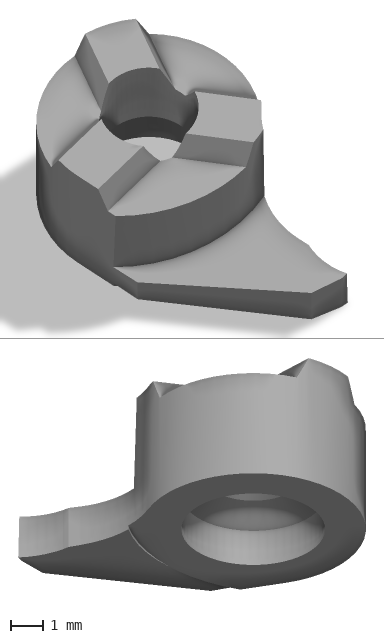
import cadquery as cq
import math

hub_radius = 3.5
hub_height = 4.38
bore_radius = 1.55

relief_radius = 2.23
relief_half_angle = 45
bore_end_z = 1.91

tooth_count = 3
tooth_height = 0.8
tooth_top_half_width = 0.84
tooth_base_half_width = 1.23

corner_x = 2.42
neck_radius = 3.22
neck_low_x = 5.34
neck_end_x = 5.73
split_x = 5.93
split_y = 0.77
rake_low_x = 6.6
rake_low_y = 0.64
end_x = 7.4
end_y = 0.73
nose_x = 7.36
nose_y = 0.46
heel_x = 6.98
heel_y = -0.53

end_lean = 0.03

mid_z = 0.53
root_x = 1.46
root_half_thickness = 0.4
rise_per_x = 0.0237
rise_per_y = 0.0446

shoulder_radius = 5.2
upper_shoulder_x = -1.7
upper_shoulder_y = 0.63
lower_shoulder_x = -1.52
lower_shoulder_y = 0.76

reach = 21.8
blade_drop = 0.65


def outline_prism():
    """Hub and arm outline, extruded over the full height."""
    neck_center_y = math.sqrt((hub_radius + neck_radius) ** 2 - neck_low_x**2)
    neck_low_y = neck_center_y - neck_radius
    tangent_ratio = hub_radius / (hub_radius + neck_radius)
    tangent_point = (neck_low_x * tangent_ratio, neck_center_y * tangent_ratio)
    neck_angle = -math.pi / 2 - math.atan2(neck_low_x, neck_center_y) / 2
    neck_middle = (
        neck_low_x + neck_radius * math.cos(neck_angle),
        neck_center_y + neck_radius * math.sin(neck_angle),
    )
    return (
        cq.Workplane("XY", origin=(0, 0, -blade_drop))
        .moveTo(0, -hub_radius)
        .lineTo(corner_x, -hub_radius)
        .lineTo(heel_x, heel_y)
        .lineTo(nose_x, nose_y)
        .lineTo(end_x, end_y)
        .threePointArc((rake_low_x, rake_low_y), (split_x, split_y))
        .lineTo(neck_end_x, neck_low_y)
        .lineTo(neck_low_x, neck_low_y)
        .threePointArc(neck_middle, tangent_point)
        .threePointArc((-hub_radius, 0), (0, -hub_radius))
        .close()
        .extrude(hub_height + blade_drop)
    )


def cutter_face(side, shoulder_x, shoulder_y):
    """Plane of one blade face (side +1 upper, -1 lower), centered on its cutter axis."""
    root_z = mid_z + side * root_half_thickness
    shoulder_z = root_z + side * (
        rise_per_x * (shoulder_x - root_x) + rise_per_y * (shoulder_y + hub_radius)
    )
    return cq.Plane(
        origin=(shoulder_x, shoulder_y, shoulder_z),
        xDir=(1, 0, side * rise_per_x),
        normal=(-rise_per_x, -rise_per_y, side),
    )


def blade_waste(face):
    """Stock beyond one blade face, outside its shoulder wall."""
    stock = cq.Workplane(face).rect(2 * reach, 2 * reach).extrude(reach)
    core = cq.Workplane(face).circle(shoulder_radius).extrude(reach)
    return stock.cut(core)


def hub_underside_waste(face):
    """Stock below the hub, inside the lower shoulder wall."""
    core = cq.Workplane(face).circle(shoulder_radius).extrude(reach, both=True)
    below_hub = cq.Workplane("XY").rect(reach, reach).extrude(-blade_drop)
    return core.intersect(below_hub)


def bore():
    """Through bore with a conical step to a wider lower part."""
    cone_height = (relief_radius - bore_radius) / math.tan(math.radians(relief_half_angle))
    return (
        cq.Workplane("XZ")
        .moveTo(0, 0)
        .lineTo(relief_radius, 0)
        .lineTo(relief_radius, bore_end_z - cone_height)
        .lineTo(bore_radius, bore_end_z)
        .lineTo(bore_radius, hub_height)
        .lineTo(0, hub_height)
        .close()
        .revolve(360, (0, 0, 0), (0, 1, 0))
    )


def tooth_gap_waste():
    """Layer around the teeth, as high as the teeth."""
    floor_z = hub_height - tooth_height
    waste = cq.Workplane("XY", origin=(0, 0, floor_z)).rect(reach, reach).extrude(tooth_height)
    tooth = (
        cq.Workplane("XZ")
        .moveTo(-tooth_base_half_width, floor_z)
        .lineTo(tooth_base_half_width, floor_z)
        .lineTo(tooth_top_half_width, hub_height)
        .lineTo(-tooth_top_half_width, hub_height)
        .close()
        .extrude(reach)
    )
    for index in range(tooth_count):
        waste = waste.cut(tooth.rotate((0, 0, 0), (0, 0, 1), index * 360 / tooth_count))
    return waste


def end_face_waste():
    """Wedge that leans the end face back towards the blade top."""
    end_rise = rise_per_x * (end_x - root_x) + rise_per_y * (end_y + hub_radius)
    end_half_thickness = root_half_thickness + end_rise
    return (
        cq.Workplane("XZ")
        .moveTo(end_x, mid_z - end_half_thickness)
        .lineTo(end_x - end_lean, mid_z + end_half_thickness)
        .lineTo(reach, mid_z + end_half_thickness)
        .lineTo(reach, mid_z - end_half_thickness)
        .close()
        .extrude(reach, both=True)
    )


def shaped_insert():
    """Full shape of the insert, before the cutting tip is separated."""
    upper_face = cutter_face(1, upper_shoulder_x, upper_shoulder_y)
    lower_face = cutter_face(-1, lower_shoulder_x, lower_shoulder_y)
    return (
        outline_prism()
        .cut(blade_waste(upper_face))
        .cut(blade_waste(lower_face))
        .cut(hub_underside_waste(lower_face))
        .cut(bore())
        .cut(tooth_gap_waste())
        .cut(end_face_waste())
    )


tip_region = cq.Workplane("YZ", origin=(split_x, 0, 0)).rect(reach, reach).extrude(reach)

insert = shaped_insert()
holder = insert.cut(tip_region)
cutting_tip = insert.intersect(tip_region)

result = cq.Compound.makeCompound([*holder.solids().vals(), *cutting_tip.solids().vals()])